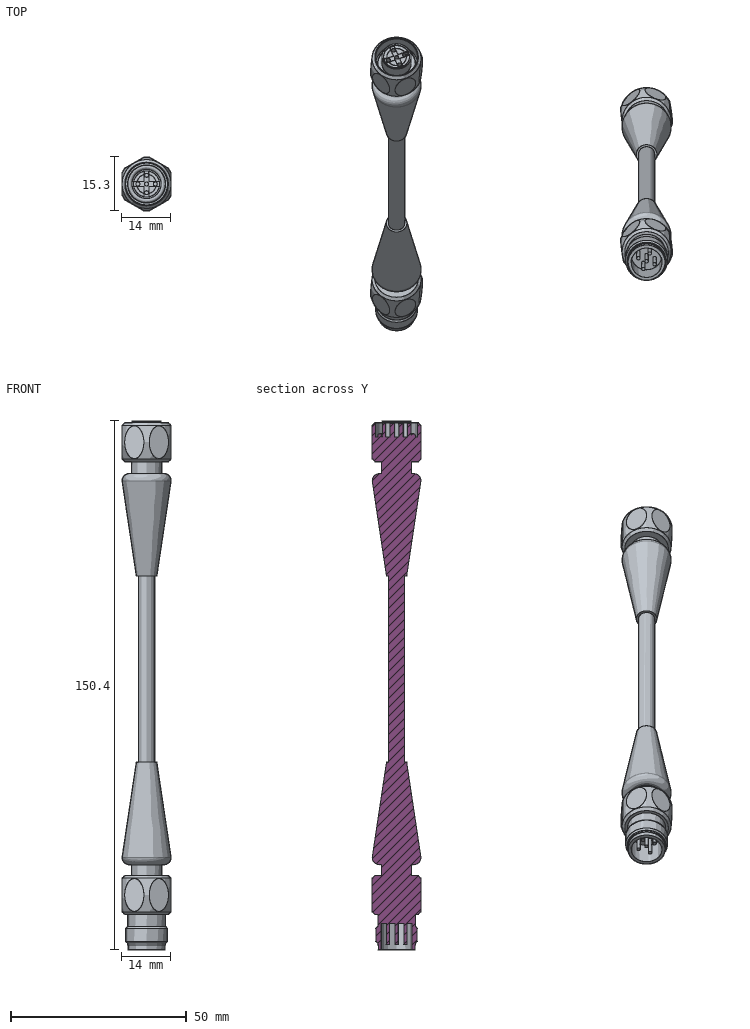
import cadquery as cq
import math

length = 150.4

nut_flats = 14.0
nut_corners = 15.3
nut_height = 11.1
nut_chamfer = 0.8
facet_height = 9.3
nut_bore = 11.9
nut_bore_depth = 4.5
upper_nut_base = 138.8
lower_nut_base = 10.1

cable_diameter = 4.7
neck_diameter = 8.7
grip_length = 29.2
grip_wide_diameter = 14.0
grip_tip_diameter = 5.9
grip_rim = 2.1
upper_grip_end = 135.5
lower_grip_end = 24.2

socket_diameter = 8.3
face_diameter = 7.4
face_height = length - 0.3
seal_outer_diameter = 10.8
core_diameter = 5.5
core_recess = 0.2
cross_width = 1.4
cross_depth = 0.3
key_width = 1.0
key_depth = 1.5
contact_hole = 1.15
contact_depth = 6.0

contact_circle = 5.0
contact_count = 4

plug_diameter = 10.8
plug_tip_diameter = 10.5
plug_tip_length = 1.4
collar_diameter = 11.9
collar_base = 2.0
collar_top = 6.6
collar_chamfer = 0.5
plug_bore = 8.7
plug_bore_depth = 7.5
pin_diameter = 1.0
pin_length = 6.0


def cylinder(diameter, base, top):
    return cq.Workplane("XY").workplane(offset=base).circle(diameter / 2).extrude(top - base)


def bar(size_x, size_y, base, top):
    return cq.Workplane("XY").workplane(offset=base).rect(size_x, size_y).extrude(top - base)


def hex_nut(base):
    """Hexagon with barrel-rounded corners, leaving an oval facet on each flat."""
    flat = nut_flats / 2
    bulge = nut_corners / 2
    half = nut_height / 2
    sagitta = bulge - flat
    arc_radius = ((facet_height / 2) ** 2 + sagitta**2) / (2 * sagitta)
    arc_end = half - nut_chamfer
    arc_end_radius = bulge - arc_radius + math.sqrt(arc_radius**2 - arc_end**2)
    end_radius = arc_end_radius - nut_chamfer
    barrel = (
        cq.Workplane("XZ")
        .moveTo(0, -half)
        .lineTo(end_radius, -half)
        .lineTo(arc_end_radius, -arc_end)
        .threePointArc((bulge, 0), (arc_end_radius, arc_end))
        .lineTo(end_radius, half)
        .lineTo(0, half)
        .close()
        .revolve(360, (0, 0, 0), (0, 1, 0))
    )
    prism = (
        cq.Workplane("XY")
        .workplane(offset=-half)
        .polygon(6, nut_flats, circumscribed=True)
        .extrude(nut_height)
    )
    return prism.intersect(barrel).translate((0, 0, base + half))


def grip(end, direction):
    """Cone from a rounded wide end at height `end`, tapering along `direction` (+1 up, -1 down)."""
    rim_height = end + direction * grip_rim
    tip_height = end + direction * grip_length
    wide = grip_wide_diameter / 2
    tip = grip_tip_diameter / 2
    profile = (
        cq.Workplane("XZ")
        .moveTo(0, end)
        .lineTo(wide - grip_rim, end)
        .radiusArc((wide, rim_height), -direction * grip_rim)
        .lineTo(tip, tip_height)
        .lineTo(0, tip_height)
        .close()
    )
    return profile.revolve(360, (0, 0, 0), (0, 1, 0))


def contacts(diameter, base, top):
    """One central round bar and a ring of equal ones around it."""
    ring = (
        cq.Workplane("XY")
        .workplane(offset=base)
        .polarArray(contact_circle / 2, 0, 360, contact_count)
        .circle(diameter / 2)
        .extrude(top - base)
    )
    return ring.union(cylinder(diameter, base, top))


def seal_ring():
    """O-ring around the socket, partly sunk in the floor of the upper nut bore."""
    ring_radius = (seal_outer_diameter + socket_diameter) / 4
    cord_radius = (seal_outer_diameter - socket_diameter) / 4
    seal_height = length - nut_bore_depth + cord_radius / 2
    profile = cq.Workplane("XZ").center(ring_radius, seal_height).circle(cord_radius)
    return profile.revolve(360, (-ring_radius, 0, 0), (-ring_radius, 1, 0))


def key_slot():
    """Square notch in the socket face, just inside its edge on the +Y side."""
    notch = bar(key_width, key_width, face_height - key_depth, face_height)
    return notch.translate((0, (face_diameter - key_width) / 2, 0))


upper_nut = hex_nut(upper_nut_base).cut(cylinder(nut_bore, length - nut_bore_depth, length))
socket = (
    cylinder(socket_diameter, upper_nut_base, length)
    .union(seal_ring())
    .cut(cylinder(face_diameter, face_height, length))
    .cut(cylinder(core_diameter, face_height - core_recess, face_height))
    .cut(bar(face_diameter, cross_width, face_height - cross_depth, face_height))
    .cut(bar(cross_width, face_diameter, face_height - cross_depth, face_height))
    .cut(key_slot())
    .cut(contacts(contact_hole, face_height - contact_depth, face_height))
)

plug = (
    cylinder(plug_tip_diameter, 0, plug_tip_length)
    .union(cylinder(plug_diameter, plug_tip_length, lower_nut_base))
    .union(cylinder(collar_diameter, collar_base, collar_top).edges().chamfer(collar_chamfer))
    .cut(cylinder(plug_bore, 0, plug_bore_depth))
    .union(contacts(pin_diameter, plug_bore_depth - pin_length, plug_bore_depth))
)

result = (
    cylinder(cable_diameter, lower_grip_end, upper_grip_end)
    .union(grip(upper_grip_end, -1))
    .union(grip(lower_grip_end, 1))
    .union(cylinder(neck_diameter, upper_grip_end, upper_nut_base))
    .union(cylinder(neck_diameter, lower_nut_base + nut_height, lower_grip_end))
    .union(upper_nut)
    .union(socket)
    .union(hex_nut(lower_nut_base))
    .union(plug)
)